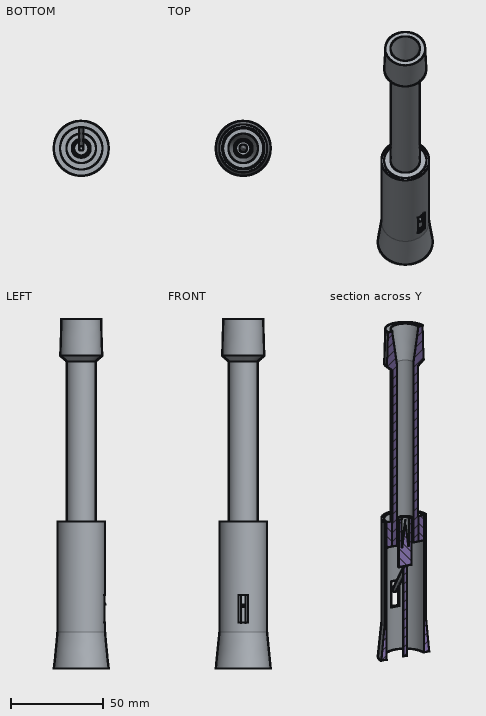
import cadquery as cq
import math

total_height = 190.0

sleeve_outer_d = 26.0
sleeve_bore_d = 23.0
sleeve_height = 80.0
foot_d = 30.0
foot_height = 20.0
slot_width = 5.0
slot_bottom_z = 25.0
slot_height = 15.0

plug_height = 15.0
plug_bottom_z = sleeve_height - plug_height

tube_outer_d = 16.0
tube_bore_d = 10.0
tube_bottom_z = plug_bottom_z
neck_z = 167.0
shoulder_z = 170.1
shoulder_d = 23.0
head_top_d = 21.8
mouth_d = tube_outer_d
mouth_depth = 20.0

wire_d = 2.4
arm_lean = math.radians(36.0)
arm_reach = 12.2
arm_tip_z = 34.3
bend_z = arm_tip_z + arm_reach / math.tan(arm_lean)

core_outer_d = 8.0
core_bore_d = 4.2
core_bottom_z = bend_z + wire_d / 2
core_top_z = sleeve_height
cone_height = 16.0
cone_recess = 1.0
cone_tip_z = core_top_z - cone_recess


def revolve_profile(points):
    """Turn a closed (radius, z) outline a full turn about the Z axis."""
    return cq.Workplane("XZ").polyline(points).close().revolve(360, (0, 0, 0), (0, 1, 0))


def make_sleeve():
    """Open-ended shell with the window slot cut through its -Y wall."""
    shell = revolve_profile(
        [
            (sleeve_bore_d / 2, 0),
            (foot_d / 2, 0),
            (sleeve_outer_d / 2, foot_height),
            (sleeve_outer_d / 2, sleeve_height),
            (sleeve_bore_d / 2, sleeve_height),
        ]
    )
    slot = (
        cq.Workplane("XY", origin=(0, -sleeve_outer_d / 2, slot_bottom_z))
        .box(slot_width, sleeve_outer_d / 2, slot_height, centered=(True, False, False))
    )
    return shell.cut(slot)


def make_plug():
    """Ring filling the gap between sleeve and tube, flush with the sleeve top."""
    return (
        cq.Workplane("XY", origin=(0, 0, plug_bottom_z))
        .circle(sleeve_bore_d / 2)
        .circle(tube_outer_d / 2)
        .extrude(plug_height)
    )


def make_tube():
    """Straight tube whose head widens at the shoulder and narrows a little to the top."""
    return revolve_profile(
        [
            (tube_bore_d / 2, tube_bottom_z),
            (tube_outer_d / 2, tube_bottom_z),
            (tube_outer_d / 2, neck_z),
            (shoulder_d / 2, shoulder_z),
            (head_top_d / 2, total_height),
            (mouth_d / 2, total_height),
            (tube_bore_d / 2, total_height - mouth_depth),
        ]
    )


def make_core():
    """Rod with a blind bore at the top whose floor rises as a steep cone."""
    return revolve_profile(
        [
            (0, core_bottom_z),
            (core_outer_d / 2, core_bottom_z),
            (core_outer_d / 2, core_top_z),
            (core_bore_d / 2, core_top_z),
            (core_bore_d / 2, cone_tip_z - cone_height),
            (0, cone_tip_z),
        ]
    )


def make_wire():
    """Upright leg and sloping arm of one wire, joined by a round bend."""
    leg = cq.Workplane("XY").circle(wire_d / 2).extrude(bend_z)
    bend = cq.Workplane("XY", origin=(0, 0, bend_z)).sphere(wire_d / 2)
    arm_direction = cq.Vector(0, -math.sin(arm_lean), -math.cos(arm_lean))
    arm_length = arm_reach / math.sin(arm_lean)
    arm = cq.Solid.makeCylinder(wire_d / 2, arm_length, cq.Vector(0, 0, bend_z), arm_direction)
    return leg.union(bend).union(cq.Workplane(arm))


sleeve = make_sleeve()
plug = make_plug()
tube = make_tube()
core = make_core()
wire = make_wire()

result = cq.Compound.makeCompound(
    [body.solids().val() for body in (sleeve, plug, tube, core, wire)]
)